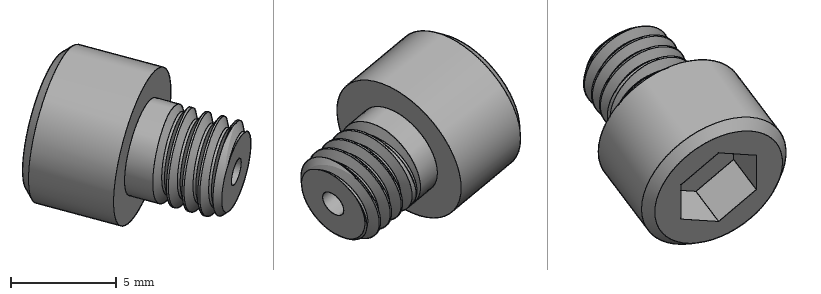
import cadquery as cq
import math

length = 9.55
head_length = 4.78
head_diameter = 7.81
head_chamfer_length = 0.48
head_chamfer_depth = 0.46
shank_diameter = 4.82
tip_chamfer = 0.42
hex_across_flats = 4.07
hex_depth = 2.25
bore_diameter = 1.33

pitch = 0.79
thread_depth = 0.48
flank_angle = 30.0
groove_width = pitch * 7 / 8
groove_start_x = 6.36
full_depth_angle = -5.0
lead_in_angle = 125.0
lead_in_steps = 8
lead_in_first_depth = 0.01
overcut = 0.03
tip_overrun = 0.57
shank_radius = shank_diameter / 2


def make_head():
    """Cylindrical head with a chamfered outer face."""
    head = cq.Workplane("YZ").circle(head_diameter / 2).extrude(head_length)
    return head.faces("<X").chamfer(head_chamfer_length, head_chamfer_depth)


def make_tip_cutter():
    """Ring that bevels the thread at the tip."""
    outer_radius = shank_radius + overcut
    end_x = length + overcut
    bevel_size = tip_chamfer + 2 * overcut
    corners = [
        (end_x - bevel_size, outer_radius),
        (end_x, outer_radius),
        (end_x, outer_radius - bevel_size),
    ]
    return cq.Workplane("XY").polyline(corners).close().revolve(360, (0, 0), (1, 0))


def make_shank():
    """Plain shank with the thread groove cut before the tip is bevelled."""
    shank = cq.Workplane("YZ").circle(shank_radius).extrude(length)
    shank = shank.cut(cq.Workplane(make_groove()))
    shank = shank.cut(cq.Workplane(make_lead_in()))
    return shank.cut(make_tip_cutter())


def cut_drive(body):
    """Hexagonal socket with two corners on the Z axis, and the axial bore."""
    hex_corner_diameter = hex_across_flats / math.cos(math.radians(30))
    socket = cq.Workplane("YZ").polygon(6, hex_corner_diameter).extrude(hex_depth)
    socket = socket.rotate((0, 0, 0), (1, 0, 0), 90)
    bore = cq.Workplane("YZ").circle(bore_diameter / 2).extrude(length)
    return body.cut(socket).cut(bore)


def groove_section(turn, depth):
    """Groove outline in the axial plane at an angle relative to full depth."""
    slope = math.tan(math.radians(flank_angle))
    root_half = groove_width / 2 - thread_depth * slope
    outer_half = root_half + (depth + overcut) * slope
    root_radius = shank_radius - depth
    outer_radius = shank_radius + overcut
    center_x = groove_start_x + pitch * turn / 360
    angle = math.radians(full_depth_angle + turn)

    def point(offset, radius):
        return cq.Vector(center_x + offset, -radius * math.sin(angle), radius * math.cos(angle))

    corners = [
        point(-outer_half, outer_radius),
        point(-root_half, root_radius),
        point(root_half, root_radius),
        point(outer_half, outer_radius),
    ]
    return cq.Wire.makePolygon(corners, close=True)


def make_lead_in():
    """Groove deepening steadily from the shank surface to full depth."""
    sections = []
    for step in range(lead_in_steps + 1):
        fraction = step / lead_in_steps
        depth = lead_in_first_depth + (thread_depth - lead_in_first_depth) * fraction
        sections.append(groove_section(lead_in_angle * (fraction - 1), depth))
    return cq.Solid.makeLoft(sections)


def make_groove():
    """Full-depth helical groove running out through the tip."""
    helix_length = length + tip_overrun - groove_start_x
    helix = cq.Wire.makeHelix(pitch, helix_length, shank_radius)
    helix = helix.rotate(cq.Vector(), cq.Vector(0, 1, 0), 90)
    helix = helix.rotate(cq.Vector(), cq.Vector(1, 0, 0), 180 + full_depth_angle)
    helix = helix.translate(cq.Vector(groove_start_x, 0, 0))
    return cq.Solid.sweep(groove_section(0, thread_depth), [], helix, True, True)


result = cut_drive(make_head().union(make_shank()))